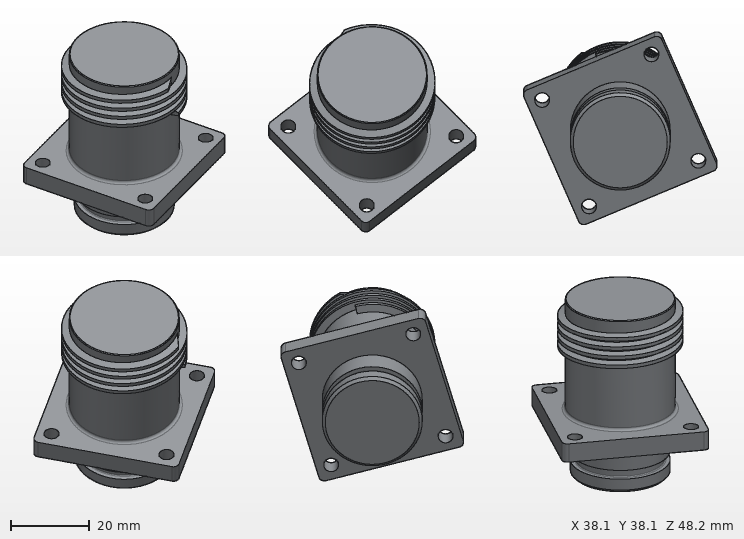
import cadquery as cq
import math

total_height = 48.25
flange_bottom = 12.8
flange_thickness = 5.05
flange_top = flange_bottom + flange_thickness

flange_side = 38.1
flange_corner_radius = 1.5
hole_spacing = 30.15
hole_diameter = 3.75

barrel_diameter = 27.95
barrel_radius = barrel_diameter / 2
barrel_foot_fillet = 0.75
barrel_rim_chamfer = 0.25

spigot_radius = 12.7
spigot_chamfer = 0.75
groove_radius = 11.4
groove_bottom = 3.8
groove_width = 2.4
groove_corner_fillet = 0.25
groove_clearance = 0.5

thread_crest_radius = 15.93
thread_length = 10.15
thread_turns = 4
thread_pitch = thread_length / thread_turns
thread_start = 35.2
thread_root_width = 1.8
thread_crest_width = 0.95
thread_embed = 0.25
runout_angle = 15.0


def make_flange():
    plate = (
        cq.Workplane("XY", origin=(0, 0, flange_bottom))
        .rect(flange_side, flange_side)
        .extrude(flange_thickness)
    )
    return plate.edges("|Z").fillet(flange_corner_radius)


def make_barrel():
    barrel = (
        cq.Workplane("XY", origin=(0, 0, flange_top))
        .circle(barrel_radius)
        .extrude(total_height - flange_top)
    )
    return barrel.faces(">Z").edges().chamfer(barrel_rim_chamfer)


def make_spigot():
    spigot = cq.Workplane("XY").circle(spigot_radius).extrude(flange_bottom)
    return spigot.faces("<Z").edges().chamfer(spigot_chamfer)


def make_foot_fillet():
    """Concave ring blending the barrel into the flange."""
    r = barrel_foot_fillet
    arc_offset = r * (1 - math.sqrt(0.5))
    inner = barrel_radius - thread_embed
    return (
        cq.Workplane("XZ")
        .moveTo(inner, flange_top)
        .lineTo(barrel_radius + r, flange_top)
        .threePointArc(
            (barrel_radius + arc_offset, flange_top + arc_offset),
            (barrel_radius, flange_top + r),
        )
        .lineTo(inner, flange_top + r)
        .close()
        .revolve(360, (0, 0, 0), (0, 1, 0))
    )


def make_groove():
    """Ring cutter whose two inner corners are rounded."""
    outer = spigot_radius + groove_clearance
    ring = (
        cq.Workplane("XY", origin=(0, 0, groove_bottom))
        .circle(outer)
        .circle(groove_radius)
        .extrude(groove_width)
    )
    return ring.edges(cq.selectors.RadiusNthSelector(0)).fillet(groove_corner_fillet)


def make_holes():
    return (
        cq.Workplane("XY", origin=(0, 0, flange_bottom))
        .rect(hole_spacing, hole_spacing, forConstruction=True)
        .vertices()
        .circle(hole_diameter / 2)
        .extrude(flange_thickness)
    )


def make_thread():
    """Trapezoidal ridge swept along a helix, starting with a square end on the +X side."""
    thread_depth = thread_crest_radius - barrel_radius
    flank_slope = (thread_root_width - thread_crest_width) / 2 / thread_depth
    inner_radius = barrel_radius - thread_embed
    inner_half = thread_root_width / 2 + thread_embed * flank_slope
    crest_half = thread_crest_width / 2
    helix = cq.Wire.makeHelix(thread_pitch, thread_length, barrel_radius)
    ridge = (
        cq.Workplane("XZ")
        .polyline(
            [
                (inner_radius, -inner_half),
                (thread_crest_radius, -crest_half),
                (thread_crest_radius, crest_half),
                (inner_radius, inner_half),
            ]
        )
        .close()
        .sweep(cq.Workplane(helix), isFrenet=True)
        .translate((0, 0, thread_start))
    )
    return ridge.cut(make_runout())


def make_runout():
    """Wedge cutter that slants the upper end of the thread."""
    angle = math.radians(-runout_angle)
    reach = 2 * thread_crest_radius
    end_center = thread_start + thread_length
    crest_end_x = thread_crest_radius * math.cos(angle)
    crest_end_y = thread_crest_radius * math.sin(angle)
    return (
        cq.Workplane("XY", origin=(0, 0, end_center - thread_pitch / 2))
        .moveTo(barrel_radius, 0)
        .lineTo(crest_end_x, crest_end_y)
        .lineTo(reach, crest_end_y)
        .lineTo(reach, 0)
        .close()
        .extrude(thread_pitch)
    )


result = (
    make_spigot()
    .cut(make_groove())
    .union(make_flange())
    .union(make_barrel())
    .union(make_foot_fillet())
    .union(make_thread())
    .cut(make_holes())
)